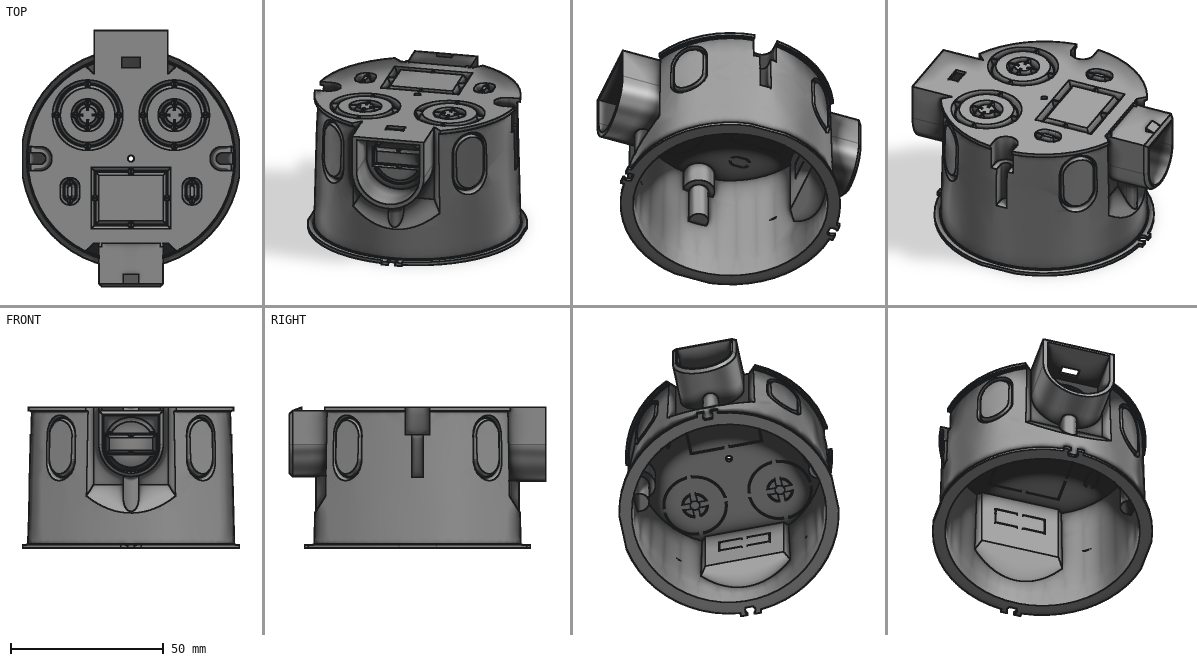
import cadquery as cq
import math

height = 46.2
wall = 2.0

rim_radius = 36.0
rim_thickness = 1.1
rim_half_width = 35.48
wall_radius_bottom = 33.9
wall_radius_top = 32.8
lip_radius = 33.85
lip_thickness = 1.2
root_chamfer = 0.35

ear_reach = 37.0
ear_half_width = 3.4
ear_mouth_half_width = 1.1
ear_hole_radius = 1.7
ear_hole_y = 35.5

recess_face_y = 27.8
recess_half_width = 12.25
recess_ledge_z = 20.85
recess_slope = 1.6

tube_end_y = 42.05
tube_axis_z = 34.0
spigot_radius = 10.55
spigot_top = 45.05
spigot_wall = 1.65
spigot_chamfer = 1.1
socket_radius = 12.1
socket_wall = 1.5
socket_roof = 1.1
post_width = 1.0
rib_radius = 2.5
rib_axis_y = 30.8

catch_half_width = 2.5
catch_back_y = 37.85
window_half_width = 3.0
window_start_y = 29.8
window_end_y = 33.2

pocket_axis_x = 29.85
pocket_radius = 3.95
pocket_floor_z = 37.2
slot_radius = 1.9
slot_floor_z = 23.3
pocket_wall = 1.2

groove_width = 2.6
groove_slit = 0.32
groove_flank = (groove_width - groove_slit) / 2
web_top_width = 0.5
web_bottom_width = 2.0

round_x = 14.2
round_y = 14.25
round_radius = 11.55
disc_hole_radius = 5.35
web_tip_radius = 1.6
window_plate_width = 26.2
window_plate_height = 20.1
window_plate_y = -12.95
oval_x = 20.0
oval_y = -10.7
oval_width = 6.5
oval_length = 9.0
center_hole_diameter = 2.0

side_oval_width = 14.5
side_oval_length = 22.1
side_oval_z = 33.0
side_oval_distance = 33.7
side_groove_depth = 2.1

tube_slot_half_width = 8.6
tube_slot_top = 37.6
tube_slot_bottom = 30.65
arc_outer_radius = 8.9
arc_inner_radius = 7.5
arc_groove_depth = 1.2
arc_gap_top = 38.2
arc_gap_bottom = 30.0

ceiling_z = height - wall
lip_bottom_z = height - lip_thickness
far = 60.0


def box(x0, x1, y0, y1, z0, z1):
    """Box between the given limits."""
    return cq.Workplane("XY").box(x1 - x0, y1 - y0, z1 - z0, centered=False).translate((x0, y0, z0))


def shell_outside():
    """Rim, conical wall and top lip turned about Z, with the rim cut flat at both sides."""
    turned = (
        cq.Workplane("XZ")
        .moveTo(0, 0)
        .lineTo(rim_radius, 0)
        .lineTo(rim_radius, rim_thickness)
        .lineTo(wall_radius_bottom + root_chamfer, rim_thickness)
        .lineTo(wall_radius_bottom, rim_thickness + root_chamfer)
        .lineTo(wall_radius_top, lip_bottom_z - root_chamfer)
        .lineTo(wall_radius_top + root_chamfer, lip_bottom_z)
        .lineTo(lip_radius, lip_bottom_z)
        .lineTo(lip_radius, height)
        .lineTo(0, height)
        .close()
        .revolve(360, (0, 0, 0), (0, 1, 0))
    )
    return turned.intersect(box(-rim_half_width, rim_half_width, -far, far, 0, height))


def shell_cavity():
    """Conical space inside the wall, open at the bottom."""
    return (
        cq.Workplane("XZ")
        .moveTo(0, 0)
        .lineTo(wall_radius_bottom - wall, 0)
        .lineTo(wall_radius_top - wall, ceiling_z)
        .lineTo(0, ceiling_z)
        .close()
        .revolve(360, (0, 0, 0), (0, 1, 0))
    )


def rim_ears():
    """Block on the -Y edge of the rim, which the keyhole notch splits into two ears."""
    return box(-ear_half_width, ear_half_width, -ear_reach, -wall_radius_bottom, 0, rim_thickness)


def rim_notch():
    """Keyhole between the ears: a round hole with a narrower mouth."""
    hole = cq.Workplane("XY").center(0, -ear_hole_y).circle(ear_hole_radius).extrude(rim_thickness)
    hole = hole.cut(box(-far, far, -wall_radius_bottom - root_chamfer, 0, 0, rim_thickness))
    mouth = box(-ear_mouth_half_width, ear_mouth_half_width, -far, -ear_hole_y, 0, rim_thickness)
    return hole.union(mouth)


def recess(offset):
    """Space in front of the flat wall at -Y, grown into the shell by `offset`."""
    face_y = -recess_face_y + offset
    half_width = recess_half_width + offset * math.tan(math.pi / 8)
    slope_length = math.hypot(1, recess_slope)
    ledge_z = recess_ledge_z - offset * (slope_length - recess_slope)
    run = far + face_y
    plan = (
        cq.Workplane("XY")
        .polyline(
            [
                (-half_width, face_y),
                (half_width, face_y),
                (half_width + run, -far),
                (-half_width - run, -far),
            ]
        )
        .close()
        .extrude(height)
    )
    side = (
        cq.Workplane("YZ")
        .polyline(
            [
                (face_y, ledge_z),
                (face_y, height),
                (-far, height),
                (-far, ledge_z - recess_slope * run),
            ]
        )
        .close()
        .extrude(far, both=True)
    )
    return plan.intersect(side)


def screw_pocket(offset):
    """Stepped pocket open at the -X side, grown into the shell by `offset`."""

    def step(radius, floor_z):
        grown = radius + offset
        tall = height - floor_z + offset
        round_end = cq.Workplane("XY").center(-pocket_axis_x, 0).circle(grown).extrude(tall)
        round_end = round_end.translate((0, 0, floor_z - offset))
        return round_end.union(box(-far, -pocket_axis_x, -grown, grown, floor_z - offset, height))

    return step(pocket_radius, pocket_floor_z).union(step(slot_radius, slot_floor_z))


def tube_solid(radius, top, start_y, end_y):
    """Bar with a flat roof and a half-round underside, running from start_y to end_y."""
    return (
        cq.Workplane("XZ")
        .moveTo(-radius, top)
        .lineTo(-radius, tube_axis_z)
        .threePointArc((0, tube_axis_z - radius), (radius, tube_axis_z))
        .lineTo(radius, top)
        .close()
        .extrude(start_y - end_y)
        .translate((0, start_y, 0))
    )


def spigot():
    """Chamfered tube at -Y with a ramped snap catch and two short posts by the end plate."""
    tube = tube_solid(spigot_radius, spigot_top, -tube_end_y, -recess_face_y)
    tube = tube.faces("<Y").chamfer(spigot_chamfer)
    ramp_end_y = tube_end_y - spigot_chamfer
    catch = (
        cq.Workplane("YZ")
        .polyline([(-catch_back_y, spigot_top), (-catch_back_y, height), (-ramp_end_y, spigot_top)])
        .close()
        .extrude(catch_half_width, both=True)
    )
    tube = tube.union(catch)
    for x in (-spigot_radius, spigot_radius - post_width):
        post = box(x, x + post_width, -recess_face_y - post_width, -recess_face_y, tube_axis_z, height)
        tube = tube.union(post)
    return tube


def spigot_bore():
    """Bore of the spigot, reaching to the plate that closes it."""
    return tube_solid(
        spigot_radius - spigot_wall, spigot_top - spigot_wall, -tube_end_y, -recess_face_y
    )


def socket():
    """Larger tube at +Y, flush with the top."""
    return tube_solid(socket_radius, height, recess_face_y, tube_end_y)


def socket_bore():
    """Bore of the socket and the window for a snap catch."""
    bore = tube_solid(socket_radius - socket_wall, height - socket_roof, recess_face_y, tube_end_y)
    window = box(
        -window_half_width, window_half_width, window_start_y, window_end_y, tube_axis_z, height
    )
    return bore.union(window)


def tube_rib():
    """Rounded rib at -Y that carries a tube, ending on the sloped ledge of the recess."""
    column = cq.Workplane("XY").center(0, -rib_axis_y).circle(rib_radius).extrude(tube_axis_z)
    back = box(-rib_radius, rib_radius, -rib_axis_y, -recess_face_y, 0, tube_axis_z)
    return column.union(back).intersect(recess(0))


def circle_outline(plane, radius, inset):
    return plane.circle(radius - inset)


def oval_outline(plane, width, length, inset):
    return plane.slot2D(length - 2 * inset, width - 2 * inset, 90)


def rect_outline(plane, width, length, inset):
    return plane.rect(width - 2 * inset, length - 2 * inset)


def tapered(outline, top_inset, bottom_inset, depth):
    """Solid below z = 0 whose outline changes from one inset to the other."""
    top = outline(cq.Workplane("XY"), top_inset)
    return outline(top.workplane(offset=-depth), bottom_inset).loft(ruled=True)


def groove_outside(outline, depth):
    return tapered(outline, 0, groove_flank, depth)


def groove_inside(outline, depth):
    return tapered(outline, groove_width, groove_width - groove_flank, depth)


def v_groove(outline, depth):
    """Ring with sloped flanks that closes to a slit at its bottom."""
    return groove_outside(outline, depth).cut(groove_inside(outline, depth))


def web(length, angle):
    """Bar of wedge section centred on the origin, its ridge at z = 0 along `angle`."""
    return (
        cq.Workplane("YZ")
        .polyline(
            [
                (-web_top_width / 2, 0),
                (web_top_width / 2, 0),
                (web_bottom_width / 2, -wall),
                (-web_bottom_width / 2, -wall),
            ]
        )
        .close()
        .extrude(length / 2, both=True)
        .rotate((0, 0, 0), (0, 0, 1), angle)
    )


def cross_webs(length):
    return web(length, 0).union(web(length, 90))


def disc_webs():
    """Four webs around the disc, stopping short of its middle."""
    core = cq.Workplane("XY").circle(web_tip_radius).extrude(-wall)
    return cross_webs(2 * disc_hole_radius).cut(core)


def round_shape(plane, inset):
    return circle_outline(plane, round_radius, inset)


def disc_shape(plane, inset):
    return circle_outline(plane, disc_hole_radius, inset)


def window_shape(plane, inset):
    return rect_outline(plane, window_plate_width, window_plate_height, inset)


def oval_shape(plane, inset):
    return oval_outline(plane, oval_width, oval_length, inset)


def side_oval_shape(plane, inset):
    return oval_outline(plane, side_oval_width, side_oval_length, inset)


def plate_openings():
    """All openings in the end plate: round, rectangular and oval grooves and the centre hole."""
    openings = []
    ring = v_groove(round_shape, wall).cut(cross_webs(2 * round_radius))
    disc_hole = groove_outside(disc_shape, wall).cut(disc_webs())
    for x in (-round_x, round_x):
        openings.append(ring.translate((x, round_y, height)))
        openings.append(disc_hole.translate((x, round_y, height)))
    window = v_groove(window_shape, wall).cut(cross_webs(window_plate_width))
    openings.append(window.translate((0, window_plate_y, height)))
    oval = v_groove(oval_shape, wall).cut(web(oval_length, 90))
    for x in (-oval_x, oval_x):
        openings.append(oval.translate((x, oval_y, height)))
    openings.append(
        cq.Workplane("XY", origin=(0, 0, ceiling_z)).circle(center_hole_diameter / 2).extrude(wall)
    )
    return openings


def side_ovals():
    """Blind oval V grooves in the wall, one in each quadrant."""
    groove = v_groove(side_oval_shape, side_groove_depth)
    upright = groove.rotate((0, 0, 0), (0, 1, 0), 90).rotate((0, 0, 0), (1, 0, 0), 90)
    placed = upright.translate((side_oval_distance, 0, side_oval_z))
    return [placed.rotate((0, 0, 0), (0, 0, 1), angle) for angle in (45, 135, 225, 315)]


def tube_knockout():
    """Slotted rectangle between two arc grooves, in the plate at the -Y recess face."""
    width = 2 * tube_slot_half_width
    length = tube_slot_top - tube_slot_bottom
    slot_z = (tube_slot_top + tube_slot_bottom) / 2
    hole = cq.Workplane("XY").rect(width, length).extrude(-wall)

    def slot_shape(plane, inset):
        return rect_outline(plane, width, length, inset)

    plug = tapered(slot_shape, groove_slit + groove_flank, groove_slit, wall)
    slot = hole.cut(plug).cut(web(length, 90))

    def arc_shape(plane, inset):
        return circle_outline(plane, arc_outer_radius, inset)

    cone = tapered(arc_shape, arc_outer_radius - arc_inner_radius, 0, arc_groove_depth)
    arcs = cq.Workplane("XY").circle(arc_outer_radius).extrude(-arc_groove_depth).cut(cone)
    gap = box(-far, far, arc_gap_bottom - tube_axis_z, arc_gap_top - tube_axis_z, -wall, 0)
    arcs = arcs.cut(gap)

    cutter = slot.translate((0, slot_z, 0)).union(arcs.translate((0, tube_axis_z, 0)))
    return cutter.rotate((0, 0, 0), (1, 0, 0), 90).translate((0, -recess_face_y, 0))


def both_ends(shape):
    """The shape at -Y and its mirror image at +Y."""
    return [shape, shape.mirror("XZ")]


def both_sides(shape):
    """The shape at -X and its mirror image at +X."""
    return [shape, shape.mirror("YZ")]


def make_housing():
    outside = shell_outside()
    cavity = shell_cavity()
    for groove in side_ovals():
        outside = outside.cut(groove)
    for ears in both_ends(rim_ears()):
        outside = outside.union(ears)
    for space in both_ends(recess(wall)):
        cavity = cavity.cut(space)
    for space in both_sides(screw_pocket(pocket_wall)):
        cavity = cavity.cut(space)
    housing = outside.cut(cavity)
    for space in both_ends(recess(0)):
        above_rim = space.intersect(box(-far, far, -far, far, rim_thickness, height))
        housing = housing.cut(above_rim)
    for space in both_sides(screw_pocket(0)):
        housing = housing.cut(space)
    for rib in both_ends(tube_rib()):
        housing = housing.union(rib)
    housing = housing.union(spigot()).union(socket())
    housing = housing.cut(spigot_bore()).cut(socket_bore())
    cutters = both_ends(rim_notch()) + both_ends(tube_knockout()) + plate_openings()
    for cutter in cutters:
        housing = housing.cut(cutter)
    return housing


def make_disc():
    """Small knockout disc, slotted for the tips of the four webs that hold it."""
    return groove_inside(disc_shape, wall).cut(disc_webs())


housing = make_housing()
discs = [make_disc().translate((x, round_y, height)) for x in (-round_x, round_x)]

result = cq.Compound.makeCompound([housing.val()] + [disc.val() for disc in discs])